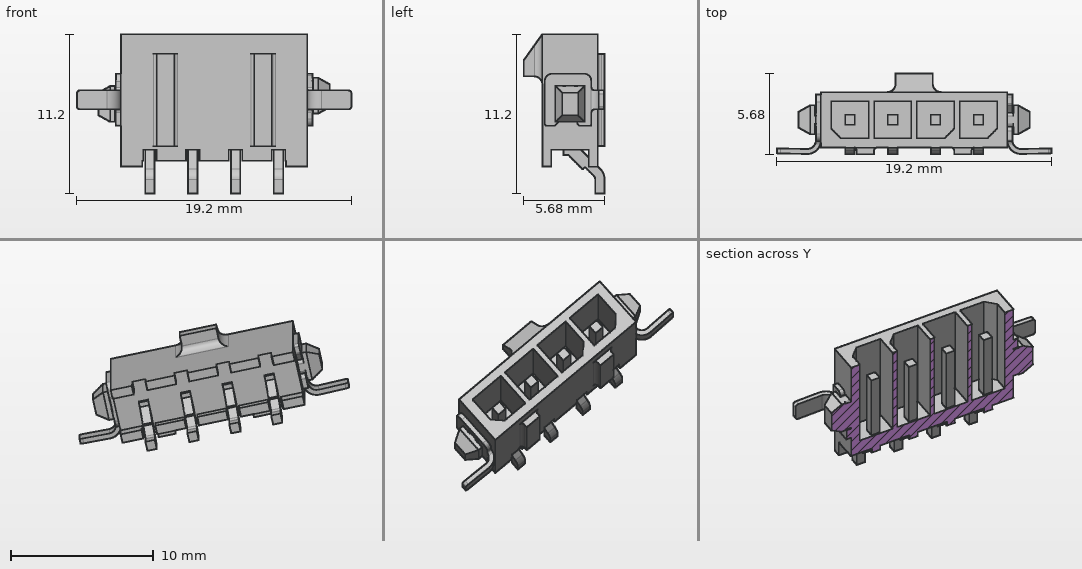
import cadquery as cq
import math


body_length = 13.05
body_depth = 3.89
body_height = 9.28
front_y = -body_depth / 2
back_y = body_depth / 2
end_x = body_length / 2

contact_count = 4
pitch = 3.0
contact_xs = [(i - (contact_count - 1) / 2) * pitch for i in range(contact_count)]
cavity_size = 2.62
cavity_depth = 6.93
key_chamfer = 0.7
keyed_corners = {0: "<X and <Y", 2: ">X and <Y", 3: ">X and <Y"}

floor_z = 1.17
leg_thickness = 0.64
skirt_z = 0.4
skirt_length = 10.05
notch_width = 0.92

pin_width = 0.67
pin_recess = 1.92
pin_top_z = body_height - pin_recess
pin_front_y = -2.43
pin_foot_z = -1.89
pin_root_back_y = 0.46
pin_root_front_y = -0.79
pin_root_z = 0.8
pin_embed = 0.2
shank_thickness = 0.9
pin_bend_radius = 0.37
pin_step_y = -0.89

rib_spacing = 6.83
rib_width = 1.23
rib_height = 0.48
rib_bottom_z = 1.45
rib_top_z = 7.9
rib_fillet = 0.23

latch_width = 2.62
latch_height = 1.3
latch_lip_top_z = 7.45
latch_bottom_z = 6.31
latch_fillet = 0.58

end_center_z = 4.68
stud_drop = 0.29
stud_head_width = 2.05
stud_head_height = 2.52
stud_neck_width = 0.98
stud_neck_round = 0.21
stud_neck_length = 0.42
stud_rim = 0.33
stud_taper_length = 0.83
stud_taper_inset = 0.46

sheet = 0.37
clip_back_y = 1.77
clip_front_y = -1.5
clip_height = 3.65
clip_top_round = 0.52
clip_back_toe_round = 0.17
clip_front_toe_round = 0.1
lead_in = 0.6
lead_in_round = 0.2
slot_round = 0.27
tab_width = 1.35
tab_root_fillet = 0.2
tab_end_x = 9.62
tab_end_round = 0.23
tab_front_y = -2.4
clip_bend_radius = 0.6
overbend_degrees = 1.2
overbend = math.radians(overbend_degrees)


def block(x0, x1, y0, y1, z0, z1):
    """Box between two opposite corners."""
    return cq.Workplane("XY").box(x1 - x0, y1 - y0, z1 - z0, centered=False).translate((x0, y0, z0))


def round_edge(solid, direction, point, radius):
    """Fillet the one edge along the given direction that lies nearest to a point."""
    return solid.edges(direction).edges(cq.NearestToPointSelector(point)).fillet(radius)


def make_housing():
    housing = block(-end_x, end_x, front_y, back_y, 0, body_height)
    channel_y = body_depth / 2 - leg_thickness
    housing = housing.cut(block(-end_x, end_x, -channel_y, channel_y, 0, floor_z))
    housing = housing.cut(block(-skirt_length / 2, skirt_length / 2, front_y, back_y, 0, skirt_z))
    for i, x in enumerate(contact_xs):
        housing = housing.cut(
            block(x - notch_width / 2, x + notch_width / 2, front_y, back_y, 0, floor_z)
        )
        cavity = cq.Workplane("XY").box(cavity_size, cavity_size, cavity_depth)
        if i in keyed_corners:
            cavity = cavity.edges("|Z").edges(keyed_corners[i]).chamfer(key_chamfer)
        housing = housing.cut(cavity.translate((x, 0, body_height - cavity_depth / 2)))
    return housing


def make_pin():
    """Contact at x = 0: square post, 45 degree shank and a vertical solder foot."""
    outer_line = pin_root_front_y - floor_z
    shank_line = outer_line + shank_thickness * math.sqrt(2)
    thin_line = outer_line + pin_width * math.sqrt(2)
    step = (shank_line - thin_line) / 2
    step_z = pin_step_y - shank_line
    foot_back_y = pin_front_y + pin_width
    outer_corner = (pin_front_y, pin_front_y - outer_line)
    inner_corner = (foot_back_y, foot_back_y - thin_line)
    outline = [
        (pin_root_back_y, floor_z + pin_embed),
        (pin_root_back_y, pin_root_z),
        (pin_root_z + shank_line, pin_root_z),
        (pin_step_y, step_z),
        (pin_step_y - step, step_z + step),
        inner_corner,
        (foot_back_y, pin_foot_z),
        (pin_front_y, pin_foot_z),
        outer_corner,
        (pin_root_front_y, floor_z),
        (pin_root_front_y, floor_z + pin_embed),
    ]
    tail = cq.Workplane("YZ").polyline(outline).close().extrude(pin_width / 2, both=True)
    tail = round_edge(tail, "|X", (0, *inner_corner), pin_bend_radius)
    tail = round_edge(tail, "|X", (0, *outer_corner), pin_bend_radius + pin_width)
    half = pin_width / 2
    return tail.union(block(-half, half, -half, half, floor_z, pin_top_z))


def make_rib(x):
    """Upright rib with concave fillets where it meets the front face."""
    half = rib_width / 2
    foot = half + rib_fillet
    bulge = rib_fillet * (1 - math.sqrt(0.5))
    tip_y = front_y - rib_height
    return (
        cq.Workplane("XY", origin=(x, 0, rib_bottom_z))
        .moveTo(-foot, front_y)
        .threePointArc((-half - bulge, front_y - bulge), (-half, front_y - rib_fillet))
        .lineTo(-half, tip_y)
        .lineTo(half, tip_y)
        .lineTo(half, front_y - rib_fillet)
        .threePointArc((half + bulge, front_y - bulge), (foot, front_y))
        .lineTo(foot, front_y + rib_fillet)
        .lineTo(-foot, front_y + rib_fillet)
        .close()
        .extrude(rib_top_z - rib_bottom_z)
    )


def add_latch(housing):
    """Ramp on the back face, filleted into it along its sides and its underside."""
    tip_y = back_y + latch_height
    ramp_profile = [
        (back_y, body_height),
        (tip_y, latch_lip_top_z),
        (tip_y, latch_bottom_z - latch_fillet),
        (back_y, latch_bottom_z - latch_fillet),
    ]
    half = latch_width / 2
    foot = half + latch_fillet
    wedge = cq.Workplane("YZ").polyline(ramp_profile).close().extrude(foot, both=True)
    lump = block(-half, half, back_y, tip_y, latch_bottom_z, body_height + latch_fillet)
    wall = block(-end_x, end_x, front_y, back_y, 0, body_height + latch_fillet)
    margin = latch_fillet / 2
    low_corner = (-half - margin, back_y - margin, latch_bottom_z - margin)
    high_corner = (half + margin, back_y + margin, body_height)
    root_edges = cq.selectors.BoxSelector(low_corner, high_corner)
    flared = wall.union(lump).edges("|Z or |X").edges(root_edges).fillet(latch_fillet)
    return housing.union(flared.intersect(wedge))


def make_stud():
    """Stud for the -X end: a rounded neck carrying a tapered head."""
    head_x = end_x + stud_neck_length
    plane = cq.Workplane("YZ", origin=(-end_x, 0, end_center_z - stud_drop))
    neck = plane.rect(stud_neck_width, stud_head_height).extrude(-stud_neck_length)
    neck = neck.edges("|X").fillet(stud_neck_round)
    rim = (
        plane.workplane(offset=-stud_neck_length)
        .rect(stud_head_width, stud_head_height)
        .extrude(-stud_rim)
    )
    taper = (
        cq.Workplane("YZ", origin=(-head_x - stud_rim, 0, end_center_z - stud_drop))
        .rect(stud_head_width, stud_head_height)
        .workplane(offset=-stud_taper_length)
        .rect(stud_head_width - 2 * stud_taper_inset, stud_head_height - 2 * stud_taper_inset)
        .loft(ruled=True)
    )
    return neck.union(rim).union(taper)


def make_bent_sheet():
    """Sheet for the -X end: flat against the housing, then curving outwards into a tab."""
    outer_radius = clip_bend_radius + sheet
    center_x = -end_x - outer_radius
    center_y = tab_front_y + outer_radius

    def on_bend(radius, angle):
        return (center_x + radius * math.cos(angle), center_y - radius * math.sin(angle))

    bend_angle = math.pi / 2 + overbend
    inner_end = on_bend(clip_bend_radius, bend_angle)
    outer_end = on_bend(outer_radius, bend_angle)
    slope = math.tan(overbend)
    sheet_profile = (
        cq.Workplane("XY", origin=(0, 0, end_center_z))
        .moveTo(-end_x, clip_back_y)
        .lineTo(-end_x, center_y)
        .threePointArc(on_bend(outer_radius, bend_angle / 2), outer_end)
        .lineTo(-tab_end_x, outer_end[1] + (outer_end[0] + tab_end_x) * slope)
        .lineTo(-tab_end_x, inner_end[1] + (inner_end[0] + tab_end_x) * slope)
        .lineTo(*inner_end)
        .threePointArc(on_bend(clip_bend_radius, bend_angle / 2), (-end_x - sheet, center_y))
        .lineTo(-end_x - sheet, clip_back_y)
        .close()
    )
    return sheet_profile.extrude(clip_height / 2, both=True)


def make_clip():
    """Clip for the -X end: the bent sheet trimmed to a forked plate with a narrow tab."""
    top_z = end_center_z + clip_height / 2
    toe_z = end_center_z - clip_height / 2
    slot_y = stud_neck_width / 2
    slot_top_z = end_center_z - stud_drop + stud_head_height / 2
    tab_top_z = end_center_z + tab_width / 2
    tab_bottom_z = end_center_z - tab_width / 2
    past_tab_y = tab_front_y - sheet
    lead_in_y = slot_y + lead_in
    blank = (
        cq.Workplane("YZ")
        .polyline(
            [
                (clip_back_y, top_z),
                (clip_back_y, toe_z),
                (lead_in_y, toe_z),
                (slot_y, toe_z + lead_in),
                (slot_y, slot_top_z),
                (-slot_y, slot_top_z),
                (-slot_y, toe_z),
                (clip_front_y, toe_z),
                (clip_front_y, tab_bottom_z),
                (past_tab_y, tab_bottom_z),
                (past_tab_y, tab_top_z),
                (clip_front_y, tab_top_z),
                (clip_front_y, top_z),
            ]
        )
        .close()
        .extrude(-tab_end_x)
    )
    rounds = [
        (clip_back_y, top_z, clip_top_round),
        (clip_front_y, top_z, clip_top_round),
        (clip_back_y, toe_z, clip_back_toe_round),
        (clip_front_y, toe_z, clip_front_toe_round),
        (lead_in_y, toe_z, lead_in_round),
        (-slot_y, toe_z, slot_round),
        (clip_front_y, tab_top_z, tab_root_fillet),
        (clip_front_y, tab_bottom_z, tab_root_fillet),
    ]
    for y, z, radius in rounds:
        blank = round_edge(blank, "|X", (-tab_end_x / 2, y, z), radius)
    clip = make_bent_sheet().intersect(blank)
    return clip.faces("<X").edges("not |Z").fillet(tab_end_round)


result = add_latch(make_housing())

for rib_x in (-rib_spacing / 2, rib_spacing / 2):
    result = result.union(make_rib(rib_x))

pin = make_pin()
for pin_x in contact_xs:
    result = result.union(pin.translate((pin_x, 0, 0)))

end_fitting = make_stud().union(make_clip())
turned_fitting = end_fitting.rotate((0, 0, end_center_z), (0, 1, end_center_z), 180)
result = result.union(end_fitting).union(turned_fitting)